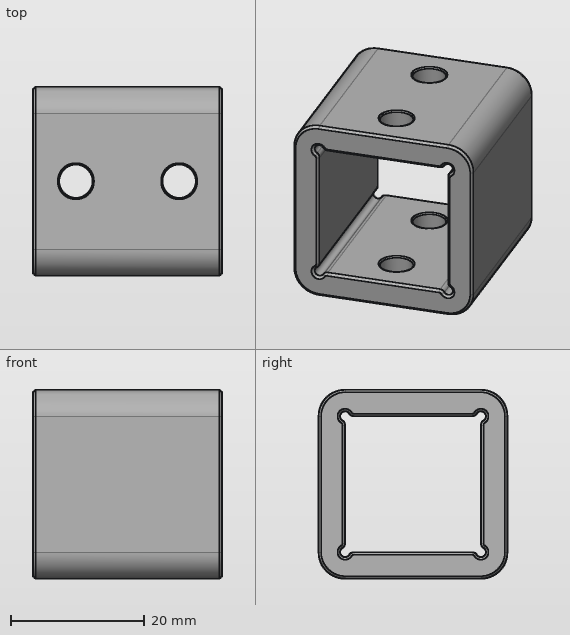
import cadquery as cq

side = 28.4
wall = 4.0
corner_radius = 4.0
edge_chamfer = 0.4
relief_radius = 0.75
lip_radius = 0.8
hole_diameter = 5.0
hole_spacing = 15.5
hole_chamfer = 0.23

opening = side - 2 * wall
half_opening = opening / 2


def outer_body():
    """Solid block with its four long edges rounded."""
    return cq.Workplane("XY").box(side, side, side).edges("|X").fillet(corner_radius)


def bore():
    """Square opening with a round relief in each corner, its two lips rounded."""
    opening_box = cq.Workplane("XY").box(side, opening, opening)
    reliefs = (
        cq.Workplane("YZ")
        .workplane(offset=-side / 2)
        .rect(opening, opening, forConstruction=True)
        .vertices()
        .circle(relief_radius)
        .extrude(side)
    )
    return opening_box.union(reliefs).edges("|X").fillet(lip_radius)


def cross_hole(x):
    """Hole through the top and bottom walls, chamfered at all four mouths."""
    radius = hole_diameter / 2
    mouth = radius + hole_chamfer
    upper = (
        cq.Workplane("XZ")
        .polyline([
            (0, half_opening),
            (mouth, half_opening),
            (radius, half_opening + hole_chamfer),
            (radius, side / 2 - hole_chamfer),
            (mouth, side / 2),
            (0, side / 2),
        ])
        .close()
        .revolve(360, (0, 0, 0), (0, 1, 0))
    )
    return upper.union(upper.mirror("XY")).translate((x, 0, 0))


tube = outer_body().cut(bore())
result = tube.faces("<X or >X").edges().chamfer(edge_chamfer)

for hole_x in (-hole_spacing / 2, hole_spacing / 2):
    result = result.cut(cross_hole(hole_x))